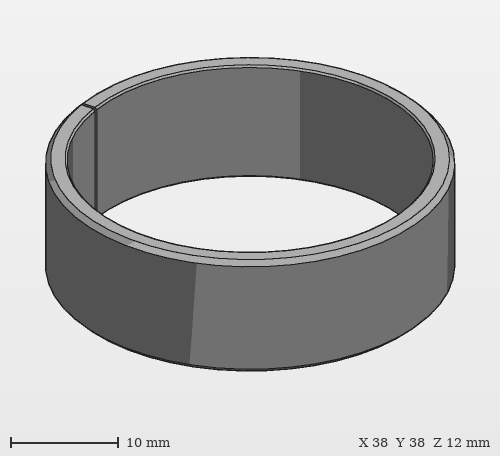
import cadquery as cq

outer_diameter = 38.0
wall = 2.0
height = 12.0
outer_chamfer = 0.5
inner_chamfer = 0.2
slit_width = 0.3

outer_radius = outer_diameter / 2
inner_radius = outer_radius - wall


def ring():
    """Plain ring with both rims chamfered outside and inside."""
    blank = cq.Workplane("XY").circle(outer_radius).circle(inner_radius).extrude(height)
    outer_rims = cq.selectors.RadiusNthSelector(-1)
    inner_rims = cq.selectors.RadiusNthSelector(0)
    blank = blank.edges(outer_rims).chamfer(outer_chamfer)
    blank = blank.faces("<Z or >Z").edges(inner_rims).chamfer(inner_chamfer)
    return blank.rotate((0, 0, 0), (0, 0, 1), 180)


def slit():
    """Narrow radial cut through the wall on the -X side, with one face on the XZ plane."""
    cutter = cq.Workplane("XY").box(outer_radius, slit_width, height, centered=False)
    return cutter.translate((-outer_radius, 0, 0))


result = ring().cut(slit())